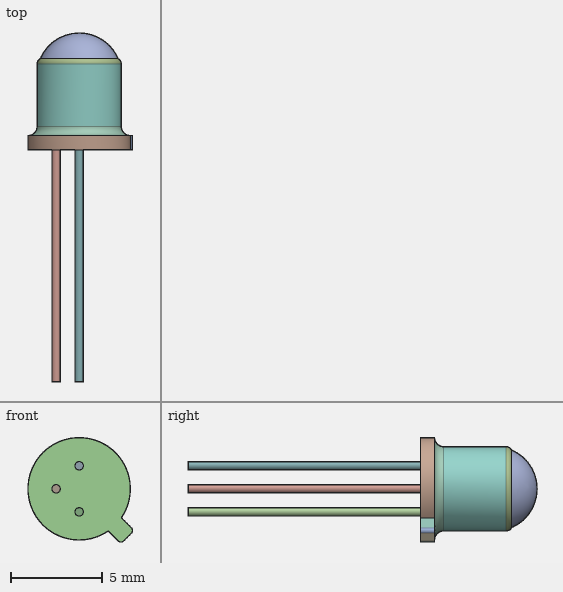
import cadquery as cq
import math

total_length = 19.08
can_height = 6.4
lead_length = total_length - can_height

flange_radius = 2.8
flange_thickness = 0.78
body_radius = 2.3
neck_radius = flange_radius - body_radius

dome_height = 1.41
dome_base_radius = 2.14
shoulder_drop = 0.29

tab_width = 1.03
tab_reach = 3.74
tab_corner_radius = 0.21
tab_angle = -45.0

lead_diameter = 0.45
lead_circle_radius = 1.25
lead_angles = (90, 180, 270)


def make_can():
    """Revolve flange, neck, body, rounded shoulder and lens dome about Y."""
    diagonal = math.sqrt(0.5)
    neck_top = flange_thickness + neck_radius
    dome_base = can_height - dome_height
    neck_middle = (
        flange_radius - neck_radius * diagonal,
        neck_top - neck_radius * diagonal,
    )
    shoulder_width = body_radius - dome_base_radius
    shoulder_radius = (shoulder_width**2 + shoulder_drop**2) / (2 * shoulder_width)
    shoulder_half_sweep = math.asin(shoulder_drop / shoulder_radius) / 2
    shoulder_middle = (
        body_radius - shoulder_radius * (1 - math.cos(shoulder_half_sweep)),
        dome_base - shoulder_drop + shoulder_radius * math.sin(shoulder_half_sweep),
    )
    dome_radius = (dome_base_radius**2 + dome_height**2) / (2 * dome_height)
    dome_half_sweep = math.asin(dome_base_radius / dome_radius) / 2
    dome_middle = (
        dome_radius * math.sin(dome_half_sweep),
        can_height - dome_radius * (1 - math.cos(dome_half_sweep)),
    )
    return (
        cq.Workplane("XY")
        .lineTo(flange_radius, 0)
        .lineTo(flange_radius, flange_thickness)
        .threePointArc(neck_middle, (body_radius, neck_top))
        .lineTo(body_radius, dome_base - shoulder_drop)
        .threePointArc(shoulder_middle, (dome_base_radius, dome_base))
        .threePointArc(dome_middle, (0, can_height))
        .close()
        .revolve(360, (0, 0, 0), (0, 1, 0))
    )


def make_tab():
    """Orientation tab: a flat bar from the axis outward with rounded outer corners."""
    return (
        cq.Workplane("XY")
        .box(tab_reach, flange_thickness, tab_width, centered=(False, False, True))
        .edges(">X and |Y")
        .fillet(tab_corner_radius)
        .rotate((0, 0, 0), (0, 1, 0), -tab_angle)
    )


def make_lead(angle):
    """Straight round lead at the given angle on the lead circle."""
    x = lead_circle_radius * math.cos(math.radians(angle))
    z = lead_circle_radius * math.sin(math.radians(angle))
    return cq.Workplane("XZ").center(x, z).circle(lead_diameter / 2).extrude(lead_length)


result = make_can().union(make_tab())
for lead_angle in lead_angles:
    result = result.union(make_lead(lead_angle))